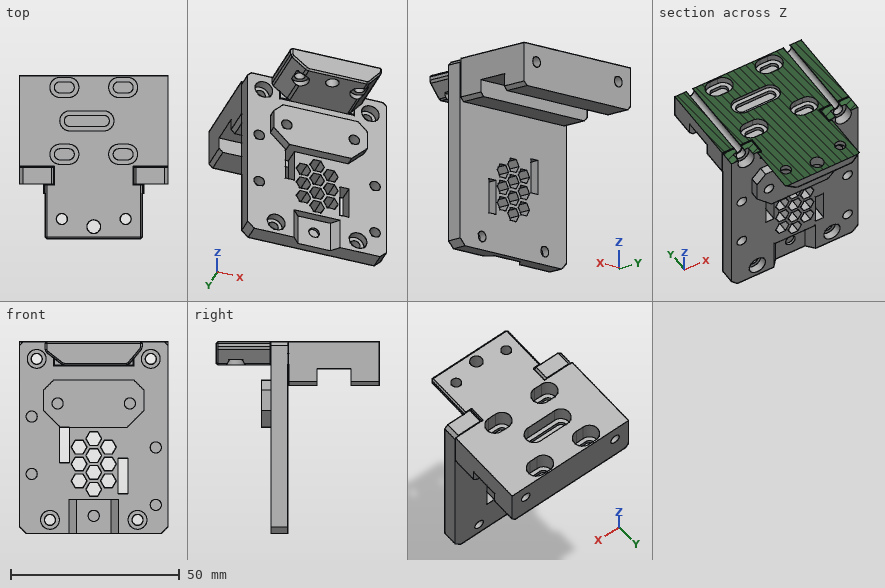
import cadquery as cq
import math

OVERSHOOT = 0.55
HEXAGON_RATIO = math.cos(math.radians(30))

width = 44.1
clearance = 0.2
screw_dia = 3.2
screw_head_dia = 5.6
top_screw_x = 16.95
top_screw_z = -5.15

plate_height = 57.0
plate_thickness = 5.0
plate_bottom_chamfer = 2.05
plate_outer_top_chamfer = 1.15
plate_notch_top_chamfer = 0.7
bottom_screw_x = 13.0
bottom_screw_z = -52.9
top_counterbore_depth = 2.95
bottom_counterbore_depth = 2.5
insert_dia = 3.3
insert_depth = 4.0
insert_x = 18.4
insert_pitch = 17.05
left_insert_top_z = -22.25
right_insert_top_z = -31.4

pad_half_width = 14.9
pad_top_z = -11.4
pad_bottom_z = -25.5
pad_thickness = 2.85
pad_top_chamfer = 2.95
pad_bottom_chamfer = 5.0
pad_insert_x = 10.7
pad_insert_z = -18.35

slot_width = 2.85
slot_height = 10.45
slot_x = 8.65
right_slot_top_z = -34.65
hexagon_across_flats = 4.0
hexagon_pitch = 5.0
hexagon_top_z = -28.8

recess_half_width = 7.3
recess_floor_half_width = 5.15
recess_depth = 2.5
recess_top_z = -46.9
recess_insert_z = -51.7
recess_insert_depth = 0.8

block_length = 26.95
block_height = 13.05
block_bottom_chamfer = 1.2
channel_width = 10.0
channel_depth = 4.95
block_slot_dia = 6.0
short_slot_depth = 6.0
long_slot_depth = 5.0
block_slot_floor_dia = 3.3
block_slot_floor_depth = 1.15
short_slot_travel = 2.6
long_slot_travel = 10.1
short_slot_x = 8.7
long_slot_x = -2.05
slot_row_pitch = 9.9
slot_row_middle_inset = 13.45

tongue_length = 16.0
tongue_height = 6.95
tongue_half_width = 14.4
tongue_left_side_z = -2.9
tongue_left_foot_x = -9.25
tongue_right_side_z = -2.0
tongue_right_foot_x = 10.25
tongue_chamfer = 0.5
neck_half_width = 11.7
tongue_screw_x = 9.45
tongue_screw_y = -10.4
tongue_counterbore_depth = 1.6
tongue_center_hole_dia = 4.0
tongue_center_hole_y = -12.65

block_front_y = plate_thickness + clearance
block_back_y = block_front_y + block_length
slot_row_middle_y = block_back_y - slot_row_middle_inset
notch_half_width = neck_half_width + clearance
notch_depth = tongue_height + clearance


def prism_along_y(points, y_start, y_end):
    """Solid with the given (x, z) outline, reaching from y_start to y_end."""
    return cq.Workplane("XZ", origin=(0, y_start, 0)).polyline(points).close().extrude(y_start - y_end)


def holes_along_y(centers, diameter, y_start, y_end):
    """Round cutters at the given (x, z) centers, reaching from y_start to y_end."""
    return (
        cq.Workplane("XZ", origin=(0, y_start, 0))
        .pushPoints(centers)
        .circle(diameter / 2)
        .extrude(y_start - y_end)
    )


def mirrored(x, other):
    """The same place on both sides of the middle of the part."""
    return [(-x, other), (x, other)]


def plate_blank():
    half = width / 2
    notch = notch_half_width
    outline = [
        (-half, -plate_outer_top_chamfer),
        (-half + plate_outer_top_chamfer, 0),
        (-notch - plate_notch_top_chamfer, 0),
        (-notch, -plate_notch_top_chamfer),
        (-notch, -notch_depth),
        (notch, -notch_depth),
        (notch, -plate_notch_top_chamfer),
        (notch + plate_notch_top_chamfer, 0),
        (half - plate_outer_top_chamfer, 0),
        (half, -plate_outer_top_chamfer),
        (half, -plate_height + plate_bottom_chamfer),
        (half - plate_bottom_chamfer, -plate_height),
        (-half + plate_bottom_chamfer, -plate_height),
        (-half, -plate_height + plate_bottom_chamfer),
    ]
    return prism_along_y(outline, 0, plate_thickness)


def plate_pad():
    half = pad_half_width
    outline = [
        (-half, pad_top_z - pad_top_chamfer),
        (-half + pad_top_chamfer, pad_top_z),
        (half - pad_top_chamfer, pad_top_z),
        (half, pad_top_z - pad_top_chamfer),
        (half, pad_bottom_z + pad_bottom_chamfer),
        (half - pad_bottom_chamfer, pad_bottom_z),
        (-half + pad_bottom_chamfer, pad_bottom_z),
        (-half, pad_bottom_z + pad_bottom_chamfer),
    ]
    return prism_along_y(outline, -pad_thickness, 0)


def plate_screw_holes():
    top = mirrored(top_screw_x, top_screw_z)
    bottom = mirrored(bottom_screw_x, bottom_screw_z)
    through = holes_along_y(top + bottom, screw_dia, -OVERSHOOT, plate_thickness + OVERSHOOT)
    top_heads = holes_along_y(top, screw_head_dia, -OVERSHOOT, top_counterbore_depth)
    bottom_heads = holes_along_y(bottom, screw_head_dia, -OVERSHOOT, bottom_counterbore_depth)
    return through.union(top_heads).union(bottom_heads)


def plate_insert_holes():
    centers = []
    for row in range(2):
        centers.append((-insert_x, left_insert_top_z - row * insert_pitch))
        centers.append((insert_x, right_insert_top_z - row * insert_pitch))
    return holes_along_y(centers, insert_dia, -OVERSHOOT, insert_depth)


def pad_insert_holes():
    centers = mirrored(pad_insert_x, pad_insert_z)
    return holes_along_y(centers, insert_dia, -pad_thickness - OVERSHOOT, insert_depth - pad_thickness)


def plate_slots():
    left = (-slot_x, pad_bottom_z - slot_height / 2)
    right = (slot_x, right_slot_top_z - slot_height / 2)
    return (
        cq.Workplane("XZ")
        .pushPoints([left, right])
        .rect(slot_width, slot_height)
        .extrude(-plate_thickness)
    )


def honeycomb():
    """Hexagonal openings in three columns of three, four and three."""
    column_pitch = hexagon_pitch * HEXAGON_RATIO
    centers = [(0, hexagon_top_z - row * hexagon_pitch) for row in range(4)]
    for row in range(3):
        centers += mirrored(column_pitch, hexagon_top_z - (row + 0.5) * hexagon_pitch)
    corner_dia = hexagon_across_flats / HEXAGON_RATIO
    return cq.Workplane("XZ").pushPoints(centers).polygon(6, corner_dia).extrude(-plate_thickness)


def foot_recess():
    """Recess with sloping sides, narrower at its floor and open at the bottom of the plate."""
    outline = [
        (-recess_half_width, 0),
        (recess_half_width, 0),
        (recess_floor_half_width, recess_depth),
        (-recess_floor_half_width, recess_depth),
    ]
    recess = (
        cq.Workplane("XY", origin=(0, 0, -plate_height))
        .polyline(outline)
        .close()
        .extrude(plate_height + recess_top_z)
    )
    hole = holes_along_y(
        [(0, recess_insert_z)], insert_dia, 0, recess_depth + recess_insert_depth
    )
    return recess.union(hole)


def make_plate():
    return (
        plate_blank()
        .union(plate_pad())
        .cut(plate_screw_holes())
        .cut(plate_insert_holes())
        .cut(pad_insert_holes())
        .cut(plate_slots())
        .cut(honeycomb())
        .cut(foot_recess())
    )


def carrier_block():
    half = width / 2
    outline = [
        (-half, 0),
        (half, 0),
        (half, -block_height + block_bottom_chamfer),
        (half - block_bottom_chamfer, -block_height),
        (-half + block_bottom_chamfer, -block_height),
        (-half, -block_height + block_bottom_chamfer),
    ]
    block = prism_along_y(outline, block_front_y, block_back_y)
    channel = cq.Workplane("XY", origin=(0, slot_row_middle_y, -block_height)).box(
        width, channel_width, channel_depth, centered=(True, True, False)
    )
    screws = holes_along_y(
        mirrored(top_screw_x, top_screw_z), screw_dia, block_front_y, block_back_y
    )
    return block.cut(channel).cut(screws)


def stepped_slot(x, y, travel, depth):
    """Blind slot cut from the top, with a narrower blind slot in its floor."""
    def pocket(diameter, bottom_depth):
        outline = cq.Workplane("XY").center(x, y).slot2D(travel + diameter, diameter)
        return outline.extrude(-bottom_depth)

    narrow = pocket(block_slot_floor_dia, depth + block_slot_floor_depth)
    return pocket(block_slot_dia, depth).union(narrow)


def carrier_tongue():
    """Tongue with a differently sloping flank on each side, beveled except at its back end."""
    outline = [
        (-tongue_half_width, 0),
        (tongue_half_width, 0),
        (tongue_half_width, tongue_right_side_z),
        (tongue_right_foot_x, -tongue_height),
        (tongue_left_foot_x, -tongue_height),
        (-tongue_half_width, tongue_left_side_z),
    ]
    tongue = prism_along_y(outline, -clearance - tongue_length, -clearance)
    return tongue.edges("|Y or <Y").chamfer(tongue_chamfer)


def carrier_neck():
    """Bridge through the notch of the plate, joining the block and the tongue."""
    return cq.Workplane("XY", origin=(0, -clearance, -tongue_height)).box(
        2 * neck_half_width, block_front_y + clearance, tongue_height, centered=(True, False, False)
    )


def tongue_holes():
    def drill(centers, diameter, height):
        return (
            cq.Workplane("XY", origin=(0, 0, -tongue_height))
            .pushPoints(centers)
            .circle(diameter / 2)
            .extrude(height)
        )

    screw_centers = mirrored(tongue_screw_x, tongue_screw_y)
    screws = drill(screw_centers, screw_dia, tongue_height)
    heads = drill(screw_centers, screw_head_dia, tongue_counterbore_depth)
    center_hole = drill([(0, tongue_center_hole_y)], tongue_center_hole_dia, tongue_height)
    return screws.union(heads).union(center_hole)


def block_slots():
    """One long slot over the channel and a short slot near each corner of the block."""
    slots = stepped_slot(long_slot_x, slot_row_middle_y, long_slot_travel, long_slot_depth)
    for x in (-short_slot_x, short_slot_x):
        for row in (-1, 1):
            y = slot_row_middle_y + row * slot_row_pitch
            slots = slots.union(stepped_slot(x, y, short_slot_travel, short_slot_depth))
    return slots


def make_carrier():
    return (
        carrier_block()
        .union(carrier_neck())
        .union(carrier_tongue())
        .cut(tongue_holes())
        .cut(block_slots())
    )


plate = make_plate()
carrier = make_carrier()

result = cq.Compound.makeCompound([plate.val(), carrier.val()])